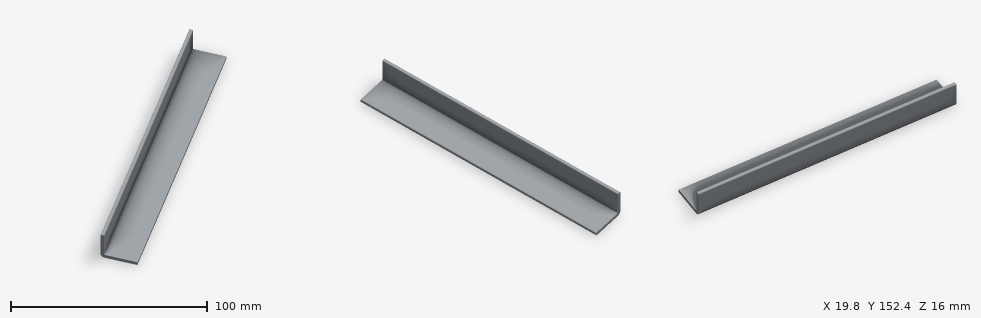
import cadquery as cq

base_width = 19.81
length = 152.4
wall_height = 16.0
thickness = 2.0
inner_bend_radius = 0.3
outer_bend_radius = inner_bend_radius + thickness
tip_radius = 0.5


def sharp_angle():
    """L-shaped bar with sharp edges: outer corner on the Y axis, ends at Y = +/- length / 2."""
    section = (
        cq.Workplane("XZ")
        .moveTo(0, 0)
        .lineTo(base_width, 0)
        .lineTo(base_width, thickness)
        .lineTo(thickness, thickness)
        .lineTo(thickness, wall_height)
        .lineTo(0, wall_height)
        .close()
    )
    return section.extrude(length / 2, both=True)


def round_long_edge(bar, x, z, radius):
    """Round the lengthwise edge that runs through (x, z)."""
    nearest = cq.selectors.NearestToPointSelector((x, 0, z))
    return bar.edges("|Y").edges(nearest).fillet(radius)


def round_bend(bar):
    """Round the inside and the outside of the bend concentrically."""
    bar = round_long_edge(bar, thickness, thickness, inner_bend_radius)
    return round_long_edge(bar, 0, 0, outer_bend_radius)


def round_tips(bar):
    """Round the two long edges at the free end of each leg."""
    for offset in (0, thickness):
        bar = round_long_edge(bar, offset, wall_height, tip_radius)
        bar = round_long_edge(bar, base_width, offset, tip_radius)
    return bar


angle = round_tips(round_bend(sharp_angle()))

result = angle.translate((-base_width / 2, 0, -wall_height / 2))